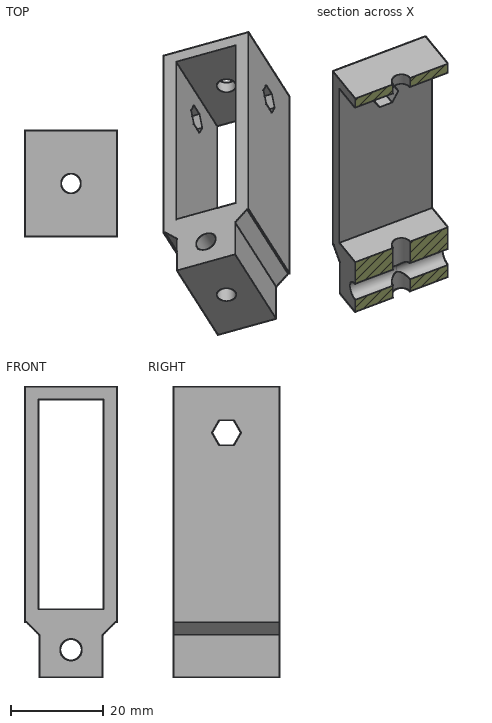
import cadquery as cq
import math

width = 20.0
depth = 23.0
height = 63.0

side_wall = 3.0
end_wall = 2.8
tab_height = 12.0
frame_height = height - tab_height

tab_width = 13.7

gusset_leg = 2.8

screw_hole_diameter = 4.2
tab_hole_diameter = 4.6
tab_hole_height = tab_height / 2
hex_across_flats = 5.4
hex_below_top = 10.0
hex_corner_diameter = hex_across_flats / math.cos(math.pi / 6)


def centred_block(size_x, size_z, bottom):
    """Block over the full depth, centred on X = Y = 0, standing on Z = bottom."""
    block = cq.Workplane("XY").box(size_x, depth, size_z, centered=(True, True, False))
    return block.translate((0, 0, bottom))


def make_frame():
    outer = centred_block(width, frame_height, tab_height)
    window = centred_block(width - 2 * side_wall, frame_height - 2 * end_wall, tab_height + end_wall)
    return outer.cut(window)


def make_gusset(side):
    """Triangular prism under the frame; side is -1 or +1 along X."""
    root = side * tab_width / 2
    profile = [
        (root, tab_height),
        (root + side * gusset_leg, tab_height),
        (root, tab_height - gusset_leg),
    ]
    return cq.Workplane("XZ").polyline(profile).close().extrude(depth / 2, both=True)


def make_screw_hole():
    return cq.Workplane("XY").circle(screw_hole_diameter / 2).extrude(height)


def make_tab_hole():
    hole = cq.Workplane("XZ").circle(tab_hole_diameter / 2).extrude(depth / 2, both=True)
    return hole.translate((0, 0, tab_hole_height))


def make_hex_hole():
    """Hexagon with two corners pointing along Y and flats on top and bottom."""
    hole = cq.Workplane("YZ").polygon(6, hex_corner_diameter).extrude(width / 2, both=True)
    return hole.translate((0, 0, height - hex_below_top))


body = make_frame().union(centred_block(tab_width, tab_height, 0))
for side in (-1, 1):
    body = body.union(make_gusset(side))

result = body.cut(make_screw_hole()).cut(make_tab_hole()).cut(make_hex_hole())